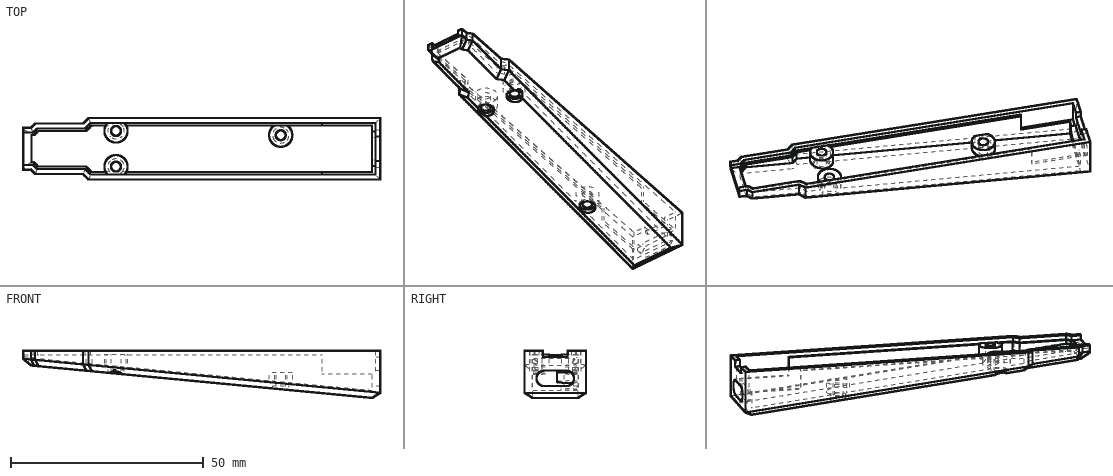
import cadquery as cq
import math

length = 92.8
width = 16.1
height = 12.3

nose_half = 5.5
neck_half = 6.6
body_half = width / 2
nose_end = 2.0
neck_end = 15.6

nose_depth = 3.7
chamfer_width = 2.1
chamfer_rise = 1.6
slope = (height - nose_depth) / (length - chamfer_width)

rim_wall = 1.3
rim_depth = 1.1
cavity_wall = 1.95
cavity_end_wall = 2.2
floor_thickness = 1.95

pocket_start = 77.6
pocket_depth = 6.0

notch_width = 6.4
notch_depth = 1.7
slot_width = 9.7
slot_height = 4.0
slot_depth = 7.2

boss_diameter = 6.0
screw_diameter = 2.5
counterbore_diameter = 4.2
counterbore_depth = 0.9
bosses = [
    (24.1, 4.6, 1.0),
    (24.1, -4.6, 1.0),
    (66.9, 3.5, 5.7),
]

overrun = 0.9


def underside_depth(x):
    return nose_depth + slope * x


def stepped_prism(inset, front, rear, depth):
    """Stepped outline moved inwards by inset, cut off at front and rear, extruded down from the rim."""
    nose = nose_half - inset
    neck = neck_half - inset
    body = body_half - inset
    shoulder_shift = inset * math.tan(math.radians(22.5))
    first_shoulder = nose_end + shoulder_shift
    second_shoulder = neck_end + shoulder_shift
    left_side = [
        (front, nose),
        (first_shoulder, nose),
        (first_shoulder + neck - nose, neck),
        (second_shoulder, neck),
        (second_shoulder + body - neck, body),
        (rear, body),
    ]
    right_side = [(x, -y) for x, y in reversed(left_side)]
    return cq.Workplane("XY").polyline(left_side + right_side).close().extrude(-depth)


def space_above_underside(clearance):
    """Wedge between the rim and a plane parallel to the underside, raised by clearance."""
    front = -overrun
    rear = length + overrun
    return (
        cq.Workplane("XZ")
        .moveTo(front, 0)
        .lineTo(front, clearance - underside_depth(front))
        .lineTo(rear, clearance - underside_depth(rear))
        .lineTo(rear, 0)
        .close()
        .extrude(width, both=True)
    )


def cylinder_down(x, y, diameter, top_depth, bottom_depth):
    return (
        cq.Workplane("XY", origin=(x, y, -top_depth))
        .circle(diameter / 2)
        .extrude(top_depth - bottom_depth)
    )


def make_outer_body():
    deepest = underside_depth(length) + overrun
    body = stepped_prism(0, 0, length, deepest).intersect(space_above_underside(0))
    return body.faces("<Z").edges().chamfer(chamfer_width, chamfer_rise)


def make_hollow():
    recess = stepped_prism(rim_wall, -overrun, length - rim_wall, rim_depth)
    cavity = stepped_prism(cavity_wall, cavity_end_wall, length - cavity_end_wall, height)
    cavity = cavity.intersect(space_above_underside(floor_thickness))
    pocket = cq.Workplane("XY").box(
        length - rim_wall - pocket_start,
        width - 2 * rim_wall,
        pocket_depth,
        centered=(False, True, False),
    )
    pocket = pocket.translate((pocket_start, 0, -pocket_depth))
    return recess.union(cavity).union(pocket)


def add_bosses(part, outer_body):
    for x, y, top_depth in bosses:
        boss = cylinder_down(x, y, boss_diameter, top_depth, height)
        part = part.union(boss.intersect(outer_body))
    for x, y, top_depth in bosses:
        seat_depth = underside_depth(x) - counterbore_depth
        part = part.cut(cylinder_down(x, y, screw_diameter, 0, height))
        part = part.cut(cylinder_down(x, y, counterbore_diameter, seat_depth, height))
    return part


def cut_rear_openings(part):
    rear_reach = cavity_end_wall + overrun
    notch = cq.Workplane("XY").box(2 * rear_reach, notch_width, 2 * notch_depth).translate((length, 0, 0))
    slot = (
        cq.Workplane("YZ", origin=(length - rear_reach, 0, -slot_depth))
        .slot2D(slot_width, slot_height)
        .extrude(2 * rear_reach)
    )
    return part.cut(notch).cut(slot)


outer_body = make_outer_body()
shell = outer_body.cut(make_hollow())
result = cut_rear_openings(add_bosses(shell, outer_body))